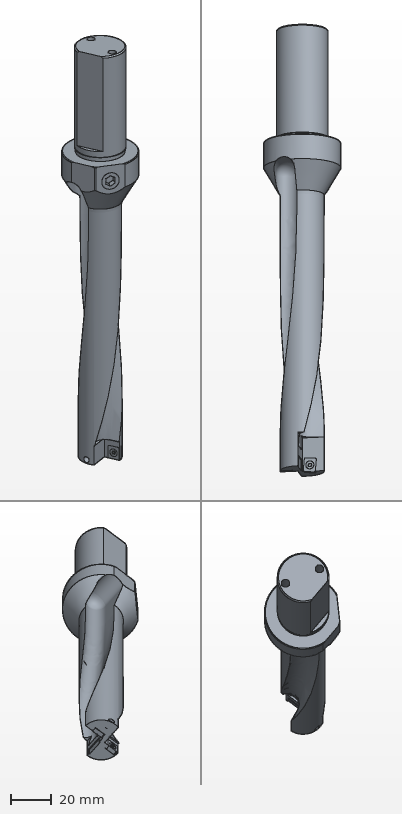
import cadquery as cq
import math

TOTAL_LENGTH = 224.3
FRONT_ANGLE = -90.0
HEX_SIDES = 6

SHANK_RADIUS = 12.8
SHANK_CHAMFER = 0.7
SHANK_FLAT_OFFSET = 10.5
SHANK_FLAT_BOTTOM_Z = 172.7
NECK_RADIUS = 12.3
NECK_TOP_Z = 169.3

FLANGE_RADIUS = 19.0
FLANGE_TOP_Z = 167.0
FLANGE_CHAMFER = 0.5
CONE_TOP_Z = 154.3
CONE_BOTTOM_Z = 140.5
COLLAR_RADIUS = 11.0
COLLAR_BOTTOM_Z = 138.4
FLANGE_FRONT_FLAT = 18.0
PLUG_FLAT = 17.5
PLUG_FLAT_ANGLE = -45.0

BODY_DIAMETER = 21.8
BODY_RADIUS = BODY_DIAMETER / 2
BODY_BOTTOM_Z = 0.5
FLUTE_WALL_X = -0.7
FLUTE_RADIUS = 5.5
FLUTE_CENTRE_X = FLUTE_WALL_X - FLUTE_RADIUS
INNER_FLUTE_Y = -4.3
OUTER_FLUTE_Y = -6.0
FLUTE_STRAIGHT_Z = 150.3
TWIST_TOP_Z = 130.0
TWIST_BOTTOM_Z = 10.8
TWIST_ANGLE = 90.0
TWIST_STEPS = 8
FLUTE_REACH = FLANGE_RADIUS + 2.2

OUTER_POCKET_TOP_Z = TWIST_BOTTOM_Z
INNER_POCKET_TOP_Z = 17.5
OUTER_POCKET_WALL = 2.2
OUTER_POCKET_FLOOR = 0.0
INNER_POCKET_WALL = 0.0
INNER_POCKET_FLOOR = 1.1
RELIEF_DEPTH = 0.5
RELIEF_HEIGHT = 5.8
RELIEF_Y = (1.5, 9.6)

INSERT_WIDTH = 6.0
INSERT_HEIGHT = 7.0
INSERT_THICKNESS = 2.2
INSERT_CORNER = 0.7
OUTER_INSERT_X = 7.5
INNER_INSERT_X = 3.5
INNER_INSERT_TILT = 5.0
INNER_INSERT_TIP_Z = 0.0
SCREW_HEAD_RADIUS = 2.0
SCREW_HEAD_DEPTH = 1.1
SCREW_RADIUS = 1.1
SCREW_LENGTH = 5.4
SCREW_SOCKET = 1.8
SCREW_SOCKET_DEPTH = 0.7

PLUG_RADIUS = 4.5
PLUG_LENGTH = 6.7
PLUG_SOCKET = 5.5
PLUG_SOCKET_DEPTH = 3.4
PLUG_Z = 158.5
COOLANT_RADIUS = 2.0
COOLANT_CIRCLE_RADIUS = 9.2
COOLANT_ANGLES = (148.0, 338.0)
COOLANT_DEPTH = 22.5
NOZZLE_RADIUS = 1.5
NOZZLE_X = -2.0
NOZZLE_Z = 2.5
NOZZLE_DEPTH = 4.5


def box_between(x_range, y_range, z_range):
    """Axis-aligned box spanning three (low, high) ranges."""
    size = [high - low for low, high in (x_range, y_range, z_range)]
    corner = cq.Vector(x_range[0], y_range[0], z_range[0])
    return cq.Workplane("XY").box(*size, centered=False).translate(corner)


def turned_blank():
    """Shank, neck, flange, cone, collar and body turned in one piece."""
    outline = [
        (0, BODY_BOTTOM_Z),
        (BODY_RADIUS, BODY_BOTTOM_Z),
        (BODY_RADIUS, COLLAR_BOTTOM_Z),
        (COLLAR_RADIUS, CONE_BOTTOM_Z),
        (FLANGE_RADIUS, CONE_TOP_Z),
        (FLANGE_RADIUS, FLANGE_TOP_Z - FLANGE_CHAMFER),
        (FLANGE_RADIUS - FLANGE_CHAMFER, FLANGE_TOP_Z),
        (NECK_RADIUS, FLANGE_TOP_Z),
        (NECK_RADIUS, NECK_TOP_Z),
        (SHANK_RADIUS, NECK_TOP_Z),
        (SHANK_RADIUS, TOTAL_LENGTH - SHANK_CHAMFER),
        (SHANK_RADIUS - SHANK_CHAMFER, TOTAL_LENGTH),
        (0, TOTAL_LENGTH),
    ]
    return cq.Workplane("XZ").polyline(outline).close().revolve(360, (0, 0), (0, 1))


def flat_cutter(offset, angle, bottom_z, top_z):
    """Block that leaves a flat at the given distance from the axis, facing the given angle."""
    reach = 2 * FLANGE_RADIUS
    block = box_between((offset, reach), (-reach, reach), (bottom_z, top_z))
    return block.rotate((0, 0, 0), (0, 0, 1), angle)


def flute_section(centre_y, z):
    """U-shaped flute cross-section with a half-round bottom, open towards -Y."""
    edge_x = FLUTE_CENTRE_X - FLUTE_RADIUS
    return (
        cq.Workplane("XY", origin=(0, 0, z))
        .moveTo(edge_x, -FLUTE_REACH)
        .lineTo(edge_x, centre_y)
        .threePointArc((FLUTE_CENTRE_X, centre_y + FLUTE_RADIUS), (FLUTE_WALL_X, centre_y))
        .lineTo(FLUTE_WALL_X, -FLUTE_REACH)
        .close()
    )


def twisted_flute(centre_y):
    """Lower flute, whose twist angle grows with the square of the distance below the straight part."""
    sections = []
    for step in range(TWIST_STEPS + 1):
        fraction = step / TWIST_STEPS
        z = TWIST_TOP_Z + fraction * (TWIST_BOTTOM_Z - TWIST_TOP_Z)
        wire = flute_section(centre_y, z).val()
        angle = -TWIST_ANGLE * fraction**2
        sections.append(wire.rotate(cq.Vector(0, 0, 0), cq.Vector(0, 0, 1), angle))
    return cq.Workplane(cq.Solid.makeLoft(sections))


def straight_flute(centre_y):
    """Upper flute along Z, with a ball-nosed end that runs out through the flange cone."""
    slot = flute_section(centre_y, TWIST_TOP_Z).extrude(FLUTE_STRAIGHT_Z - TWIST_TOP_Z)
    end_centre = (FLUTE_CENTRE_X, centre_y, FLUTE_STRAIGHT_Z)
    ball = cq.Workplane("XZ", origin=end_centre).sphere(FLUTE_RADIUS)
    run_out = cq.Workplane("XZ", origin=end_centre).circle(FLUTE_RADIUS).extrude(FLUTE_REACH)
    return slot, ball, run_out


def half_turn(shape):
    """Turn a shape half a revolution about the drill axis."""
    return shape.rotate((0, 0, 0), (0, 0, 1), 180)


def insert_blank():
    """Insert without its screw hole, facing -Y, with the origin at the centre of its face."""
    return (
        cq.Workplane("XZ")
        .rect(INSERT_WIDTH, INSERT_HEIGHT)
        .extrude(-INSERT_THICKNESS)
        .edges("|Y")
        .fillet(INSERT_CORNER)
    )


def screw_blank():
    """Insert screw without its socket: a head flush with the insert and a shaft behind it."""
    head = cq.Workplane("XZ").circle(SCREW_HEAD_RADIUS).extrude(-SCREW_HEAD_DEPTH)
    shaft = cq.Workplane("XZ").circle(SCREW_RADIUS).extrude(-SCREW_LENGTH)
    return head.union(shaft)


def insert():
    return insert_blank().cut(screw_blank())


def insert_screw():
    socket = cq.Workplane("XZ").polygon(HEX_SIDES, SCREW_SOCKET).extrude(-SCREW_SOCKET_DEPTH)
    return screw_blank().cut(socket)


def place_outer(shape):
    """Seat an insert part on the outer pocket floor, level with the bottom of the body."""
    centre_z = BODY_BOTTOM_Z + INSERT_HEIGHT / 2
    return shape.translate((OUTER_INSERT_X, OUTER_POCKET_FLOOR, centre_z))


def place_inner(shape):
    """Tilt an insert part, turn it to the inner pocket and put its lowest corner at the tip."""
    tilt = math.radians(INNER_INSERT_TILT)
    corner_x = INSERT_WIDTH / 2 - INSERT_CORNER
    corner_z = INSERT_HEIGHT / 2 - INSERT_CORNER
    depth_below_centre = corner_x * math.sin(tilt) + corner_z * math.cos(tilt) + INSERT_CORNER
    centre_z = INNER_INSERT_TIP_Z + depth_below_centre
    tilted = shape.rotate((0, 0, 0), (0, 1, 0), INNER_INSERT_TILT)
    return half_turn(tilted.translate((INNER_INSERT_X, INNER_POCKET_FLOOR, centre_z)))


def plug_plane():
    """Plane on the plug flat, centred on the plug, with its normal pointing outwards."""
    angle = math.radians(PLUG_FLAT_ANGLE)
    outward = (math.cos(angle), math.sin(angle), 0)
    origin = (PLUG_FLAT * outward[0], PLUG_FLAT * outward[1], PLUG_Z)
    return cq.Plane(origin=origin, xDir=(0, 0, 1), normal=outward)


def plug_blank():
    return cq.Workplane(plug_plane()).circle(PLUG_RADIUS).extrude(-PLUG_LENGTH)


def coolant_plug():
    """Socket screw that closes the side coolant inlet."""
    socket = cq.Workplane(plug_plane()).polygon(HEX_SIDES, PLUG_SOCKET).extrude(-PLUG_SOCKET_DEPTH)
    return plug_blank().cut(socket)


def cut_flats(body):
    body = body.cut(flat_cutter(SHANK_FLAT_OFFSET, FRONT_ANGLE, SHANK_FLAT_BOTTOM_Z, TOTAL_LENGTH))
    body = body.cut(flat_cutter(FLANGE_FRONT_FLAT, FRONT_ANGLE, COLLAR_BOTTOM_Z, FLANGE_TOP_Z))
    return body.cut(flat_cutter(PLUG_FLAT, PLUG_FLAT_ANGLE, COLLAR_BOTTOM_Z, FLANGE_TOP_Z))


def cut_flutes(body):
    """Cut the inner flute on the -X, -Y side and the outer flute half a turn away."""
    for piece in (twisted_flute(INNER_FLUTE_Y), *straight_flute(INNER_FLUTE_Y)):
        body = body.cut(piece)
    for piece in (twisted_flute(OUTER_FLUTE_Y), *straight_flute(OUTER_FLUTE_Y)):
        body = body.cut(half_turn(piece))
    return body


def cut_chip_pockets(body):
    """Straight pockets below the twisted flutes, with a shallow relief in the inner one."""
    outer_z = (0, OUTER_POCKET_TOP_Z)
    inner_z = (0, INNER_POCKET_TOP_Z)
    outer = box_between((OUTER_POCKET_WALL, FLUTE_REACH), (-FLUTE_REACH, OUTER_POCKET_FLOOR), outer_z)
    inner = box_between((-FLUTE_REACH, INNER_POCKET_WALL), (-INNER_POCKET_FLOOR, FLUTE_REACH), inner_z)
    relief_x = (INNER_POCKET_WALL, INNER_POCKET_WALL + RELIEF_DEPTH)
    relief = box_between(relief_x, RELIEF_Y, (0, RELIEF_HEIGHT))
    return body.cut(outer).cut(inner).cut(relief)


def cut_coolant_holes(body):
    for angle in COOLANT_ANGLES:
        x = COOLANT_CIRCLE_RADIUS * math.cos(math.radians(angle))
        y = COOLANT_CIRCLE_RADIUS * math.sin(math.radians(angle))
        hole = cq.Workplane("XY", origin=(x, y, TOTAL_LENGTH)).circle(COOLANT_RADIUS)
        body = body.cut(hole.extrude(-COOLANT_DEPTH))
    nozzle = cq.Workplane("XZ", origin=(NOZZLE_X, -BODY_RADIUS, NOZZLE_Z)).circle(NOZZLE_RADIUS)
    return body.cut(nozzle.extrude(-NOZZLE_DEPTH))


drill_body = cut_flats(turned_blank())
drill_body = cut_flutes(drill_body)
drill_body = cut_chip_pockets(drill_body)
drill_body = cut_coolant_holes(drill_body)
drill_body = drill_body.cut(plug_blank())

inserts = []
insert_screws = []
for place in (place_outer, place_inner):
    drill_body = drill_body.cut(place(insert_blank())).cut(place(screw_blank()))
    inserts.append(place(insert()).val())
    insert_screws.append(place(insert_screw()).val())

plug = coolant_plug()

result = cq.Compound.makeCompound([drill_body.val(), plug.val(), *inserts, *insert_screws])